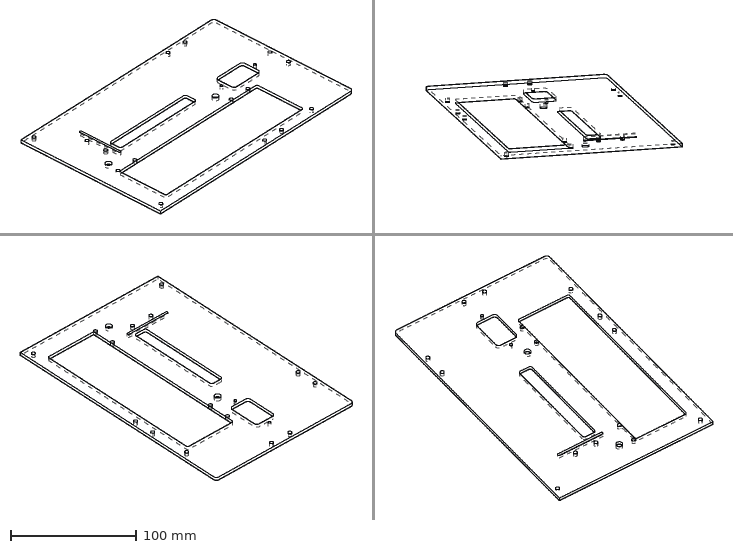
import cadquery as cq

width = 150.0
length = 230
thickness = 3.0
top_corner_radius = 3.0

screw_diameter = 3.2
pair_pitch = 20.0
edge_margin = 5.0
edge_x = width / 2 - edge_margin
edge_y = length / 2 - edge_margin

display_width = 50.0
display_length = 164.0
display_center = (38.2, -13.3)
display_radius = 1.4
display_screw_x = 11.5
display_screw_pair_centers_y = (50.0, -85.0)

socket_width = 20.0
socket_length = 31.5
socket_center = (-7.1, 69.0)
socket_radius = 3.0
socket_screw_diameter = 2.3
socket_screw_pitch = 40.0

slider_width = 12.0
slider_length = 90.5
slider_center = (-14.0, -25.0)
slider_radius = 2.0

slit_width = 43.5
slit_length = 2.0
slit_center = (-26.2, -74.5)
slit_radius = 0.5
slit_screw_center = (-25.0, -80.3)

large_hole_diameter = 5.5
large_hole_x = -1.0
large_hole_ys = (35.0, -92.7)

left_pair_center_y = 65.0
left_single_y = -105.0
right_pair_center_y = 25.0
right_single_x = 68.0
right_single_ys = (73.0, -107.0)


def horizontal_pair(center_x, y):
    return [(center_x - pair_pitch / 2, y), (center_x + pair_pitch / 2, y)]


def vertical_pair(x, center_y, pitch=pair_pitch):
    return [(x, center_y - pitch / 2), (x, center_y + pitch / 2)]


def cutter(size_x, size_y, center, corner_radius):
    """Rectangular through-cutter with rounded corners."""
    block = cq.Workplane("XY").box(size_x, size_y, thickness)
    block = block.edges("|Z").fillet(corner_radius)
    return block.translate((center[0], center[1], thickness / 2))


def drill(plate, points, diameter):
    drills = cq.Workplane("XY").pushPoints(points).circle(diameter / 2).extrude(thickness)
    return plate.cut(drills)


result = cq.Workplane("XY").box(width, length, thickness, centered=(True, True, False))
result = result.edges("|Z and >Y").fillet(top_corner_radius)

result = result.cut(cutter(display_width, display_length, display_center, display_radius))
result = result.cut(cutter(socket_width, socket_length, socket_center, socket_radius))
result = result.cut(cutter(slider_width, slider_length, slider_center, slider_radius))
result = result.cut(cutter(slit_width, slit_length, slit_center, slit_radius))

screw_points = horizontal_pair(0, edge_y)
screw_points += vertical_pair(-edge_x, left_pair_center_y)
screw_points += vertical_pair(edge_x, right_pair_center_y)
screw_points += horizontal_pair(*slit_screw_center)
screw_points.append((-edge_x, left_single_y))
for pair_center_y in display_screw_pair_centers_y:
    screw_points += vertical_pair(display_screw_x, pair_center_y)
for single_y in right_single_ys:
    screw_points.append((right_single_x, single_y))
result = drill(result, screw_points, screw_diameter)

result = drill(result, vertical_pair(*socket_center, pitch=socket_screw_pitch), socket_screw_diameter)
result = drill(result, [(large_hole_x, y) for y in large_hole_ys], large_hole_diameter)